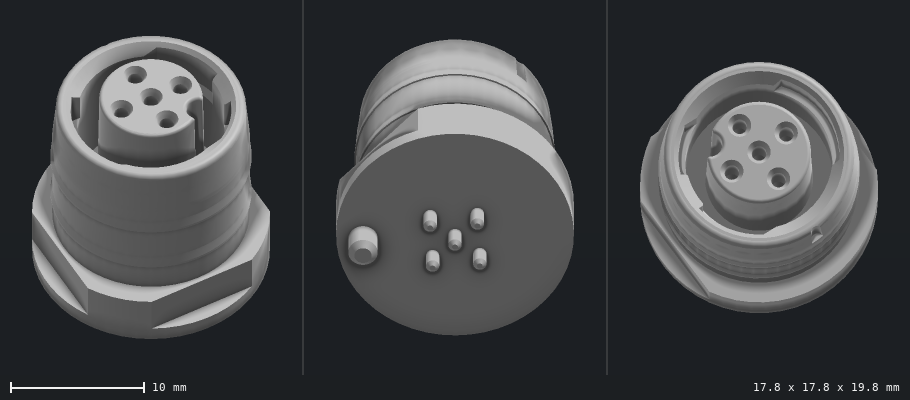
import cadquery as cq
import math


flange_radius = 17.8 / 2
flange_height = 4.25
flat_base_height = 1.2
flat_distance = 7.8
clocking = 1.0
flat_angles = (0, 90, 270)

shell_radius = 14.8 / 2
shell_top = 16.4
barb_radius = 7.53
barb_bases = (6.6, 10.6)
barb_land = 0.2
barb_height = 1.0
bend_start = 12.75
bend_height = 0.45
nose_taper = math.radians(5)
rim_round_height = 0.4
rim_outer_radius = 6.6
rim_inner_radius = 6.37

bore_radius = 11.02 / 2
bore_floor = 7.4
lead_in_bottom = 15.68

recess_radius = 6.03
recess_floor = 13.38
floor_slope = math.radians(30)
lower_recess_width = 7.5
upper_recess_width = 10.2
key_rib_angle = 82.5
key_rib_span = 27.7
key_rib_edges = (key_rib_angle - key_rib_span / 2, key_rib_angle + key_rib_span / 2)
key_rib_round = 0.2

insert_top = 17.4
insert_top_radius = 3.88
insert_draft = 1.0
insert_round = 0.28
keyway_radius = 0.9
keyway_distance = 3.7
keyway_angle = 45
keyway_lip_round = 0.2

contact_pitch = 2.5
contact_points = [(0, 0)]
for step_x, step_y in ((1, 0), (0, 1), (-1, 0), (0, -1)):
    contact_points.append((step_x * contact_pitch, step_y * contact_pitch))
socket_radius = 1.1 / 2
socket_mouth_radius = 1.74 / 2
socket_mouth_depth = 0.55
socket_depth = 4.0
socket_tip_depth = 0.35

pin_radius = 1.0 / 2
pin_length = 1.75
pin_chamfer = 0.28
peg_radius = 2.2 / 2
peg_length = 2.4
peg_chamfer = 0.45
peg_offset = 4.87

groove_radius = 0.5
groove_distance = 7.37
groove_bottom = 13.4


def cylinder(radius, bottom, top, center=(0, 0)):
    return cq.Workplane("XY", origin=(*center, bottom)).circle(radius).extrude(top - bottom)


def make_flange():
    flange = cylinder(flange_radius, 0, flange_height)
    cut_depth = flange_radius - flat_distance
    cut_height = flange_height - flat_base_height
    for angle in flat_angles:
        cutter = cq.Workplane("XY", origin=(flat_distance, 0, flat_base_height)).box(
            cut_depth, 2 * flange_radius, cut_height, centered=(False, True, False)
        )
        flange = flange.cut(cutter.rotate((0, 0, 0), (0, 0, 1), angle + clocking))
    return flange


def make_shell():
    bend_top = bend_start + bend_height
    bend_top_radius = shell_radius - bend_height * math.tan(nose_taper / 2)
    rim_start = shell_top - rim_round_height
    rim_start_radius = bend_top_radius - (rim_start - bend_top) * math.tan(nose_taper)

    profile = cq.Workplane("XZ").lineTo(shell_radius, 0)
    for base in barb_bases:
        profile = (
            profile.lineTo(shell_radius, base)
            .lineTo(barb_radius, base)
            .lineTo(barb_radius, base + barb_land)
            .lineTo(shell_radius, base + barb_height)
        )
    profile = (
        profile.lineTo(shell_radius, bend_start)
        .tangentArcPoint((bend_top_radius, bend_top), relative=False)
        .lineTo(rim_start_radius, rim_start)
        .tangentArcPoint((rim_outer_radius, shell_top), relative=False)
        .lineTo(0, shell_top)
        .close()
    )
    return profile.revolve(360, (0, 0, 0), (0, 1, 0))


def make_cavity():
    return (
        cq.Workplane("XZ")
        .moveTo(0, bore_floor)
        .lineTo(bore_radius, bore_floor)
        .lineTo(bore_radius, lead_in_bottom)
        .lineTo(rim_inner_radius, shell_top)
        .lineTo(0, shell_top)
        .close()
        .revolve(360, (0, 0, 0), (0, 1, 0))
    )


def recess_blank():
    """Full ring of recess depth, with a flat floor."""
    return cylinder(recess_radius, recess_floor, shell_top)


def sloped_recess_blank():
    """Full ring of recess depth, with a floor that falls toward the bore."""
    floor_drop = (recess_radius - bore_radius) * math.tan(floor_slope)
    return (
        cq.Workplane("XZ")
        .moveTo(0, recess_floor - floor_drop)
        .lineTo(bore_radius, recess_floor - floor_drop)
        .lineTo(recess_radius, recess_floor)
        .lineTo(recess_radius, shell_top)
        .lineTo(0, shell_top)
        .close()
        .revolve(360, (0, 0, 0), (0, 1, 0))
    )


def side_span(side):
    """Space beside the key rib, out to a wall parallel to Y; side is 1 toward +X, -1 toward -X."""
    width = upper_recess_width / 2
    span = (
        cq.Workplane("XY", origin=(side * width / 2, recess_radius / 2, bore_floor))
        .rect(width, recess_radius)
        .extrude(shell_top - bore_floor)
    )
    reach = 2 * recess_radius
    edge_angle = key_rib_edges[0] if side > 0 else key_rib_edges[1]
    side_limit = 0 if side > 0 else 180
    sector_angles = (edge_angle, (edge_angle + side_limit) / 2, side_limit)
    corners = [(0, 0)]
    for angle in sector_angles:
        direction = math.radians(angle)
        corners.append((reach * math.cos(direction), reach * math.sin(direction)))
    sector = (
        cq.Workplane("XY", origin=(0, 0, bore_floor))
        .polyline(corners)
        .close()
        .extrude(shell_top - bore_floor)
    )
    return span.intersect(sector)


def make_recesses():
    lower_span = (
        cq.Workplane("XY", origin=(0, -recess_radius / 2, bore_floor))
        .rect(lower_recess_width, recess_radius)
        .extrude(shell_top - bore_floor)
    )
    lower = recess_blank().intersect(lower_span)
    right = recess_blank().intersect(side_span(1))
    left = sloped_recess_blank().intersect(side_span(-1))
    return lower, right, left


def round_key_rib(body):
    """Round the two upright edges where the key rib meets the bore."""
    edge_height = (recess_floor + lead_in_bottom) / 2
    for angle in key_rib_edges:
        direction = math.radians(angle)
        edge_point = (bore_radius * math.cos(direction), bore_radius * math.sin(direction), edge_height)
        body = body.edges("|Z").edges(cq.NearestToPointSelector(edge_point)).fillet(key_rib_round)
    return body


def make_insert():
    height = insert_top - bore_floor
    direction = math.radians(keyway_angle)
    keyway_center = (keyway_distance * math.cos(direction), keyway_distance * math.sin(direction))
    insert = (
        cq.Workplane("XY", origin=(0, 0, insert_top))
        .circle(insert_top_radius)
        .extrude(-height, taper=-insert_draft)
    )
    insert = insert.cut(cylinder(keyway_radius, bore_floor, insert_top, keyway_center))
    for lip_side in (-1, 1):
        lip_angle = direction + lip_side * math.asin(keyway_radius / insert_top_radius)
        lip_point = (
            insert_top_radius * math.cos(lip_angle),
            insert_top_radius * math.sin(lip_angle),
            bore_floor + height / 2,
        )
        insert = insert.edges(cq.NearestToPointSelector(lip_point)).fillet(keyway_lip_round)
    return insert.faces(">Z").edges().fillet(insert_round)


def make_socket(center):
    return (
        cq.Workplane("XZ")
        .lineTo(socket_mouth_radius, 0)
        .lineTo(socket_radius, -socket_mouth_depth)
        .lineTo(socket_radius, -socket_depth)
        .lineTo(0, -socket_depth - socket_tip_depth)
        .close()
        .revolve(360, (0, 0, 0), (0, 1, 0))
        .translate((*center, insert_top))
    )


def make_pin(radius, length, chamfer, center):
    return cylinder(radius, -length, 0, center).faces("<Z").chamfer(chamfer)


def make_index_groove():
    groove = cylinder(groove_radius, groove_bottom, shell_top, (-groove_distance, 0))
    return groove.rotate((0, 0, 0), (0, 0, 1), clocking)


result = make_flange().union(make_shell())
result = result.cut(make_cavity())
for recess in make_recesses():
    result = result.cut(recess)
result = round_key_rib(result)
result = result.cut(make_index_groove())
result = result.union(make_insert())
for point in contact_points:
    result = result.cut(make_socket(point))
    result = result.union(make_pin(pin_radius, pin_length, pin_chamfer, point))
result = result.union(make_pin(peg_radius, peg_length, peg_chamfer, (peg_offset, peg_offset)))